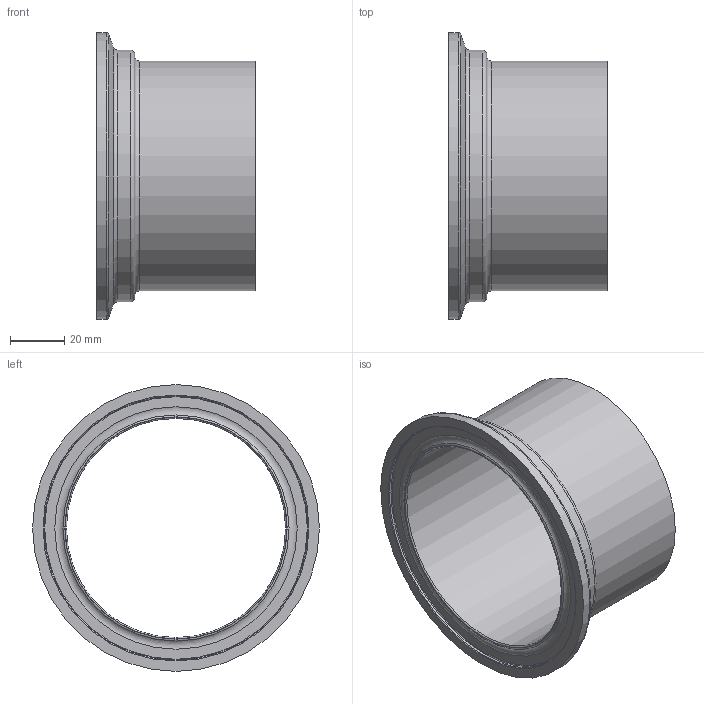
import cadquery as cq
import math

LENGTH = 58.5
BORE_R = 81.0 / 2
TUBE_R = 85.0 / 2
COLLAR_R = 93.0 / 2
FLANGE_R = 106.0 / 2

RIM_WIDTH = 3.4
RIM_ROUND = 1.0
BACK_SLOPE = math.radians(20)
BACK_FILLET = 1.7

COLLAR_END = 14.0
COLLAR_ROUND = 1.6
TUBE_FILLET = 1.6

SEAT_R = 97.7 / 2
SEAT_DEPTH = 1.5
SEAT_ROUND = 0.3

GROOVE_CENTER_R = 43.75
GROOVE_ROUND = 2.8
GROOVE_OUTER_R = 44.8

LIP_OUTER_ROUND = 1.0
LIP_INNER_ROUND = 0.5
LIP_FLAT = 0.1


def arc_points(center_x, center_r, radius, start, end):
    """Middle and end points of an arc; angles are measured from +X towards the radial direction."""
    middle = (start + end) / 2
    return [
        (center_x + radius * math.cos(angle), center_r + radius * math.sin(angle))
        for angle in (middle, end)
    ]


def outer_side(profile):
    """Continue the half section from the rim at the sealing face to the free end of the tube."""
    normal = BACK_SLOPE
    rim_center_r = FLANGE_R - RIM_ROUND
    profile = profile.lineTo(RIM_WIDTH, FLANGE_R)
    rim_arc = arc_points(RIM_WIDTH, rim_center_r, RIM_ROUND, math.pi / 2, normal)
    profile = profile.threePointArc(*rim_arc)

    fillet_center_r = COLLAR_R + BACK_FILLET
    round_sum = RIM_ROUND + BACK_FILLET
    center_drop = rim_center_r - fillet_center_r
    fillet_center_x = RIM_WIDTH + (round_sum + center_drop * math.sin(normal)) / math.cos(normal)
    fillet_arc = arc_points(
        fillet_center_x, fillet_center_r, BACK_FILLET, math.pi + normal, 3 * math.pi / 2
    )
    fillet_start = (
        fillet_center_x - BACK_FILLET * math.cos(normal),
        fillet_center_r - BACK_FILLET * math.sin(normal),
    )
    profile = profile.lineTo(*fillet_start).threePointArc(*fillet_arc)

    collar_center_x = COLLAR_END - COLLAR_ROUND
    collar_center_r = COLLAR_R - COLLAR_ROUND
    collar_arc = arc_points(collar_center_x, collar_center_r, COLLAR_ROUND, math.pi / 2, 0)
    profile = profile.lineTo(collar_center_x, COLLAR_R).threePointArc(*collar_arc)

    tube_arc = arc_points(
        COLLAR_END + TUBE_FILLET, TUBE_R + TUBE_FILLET, TUBE_FILLET, math.pi, 3 * math.pi / 2
    )
    profile = profile.lineTo(COLLAR_END, TUBE_R + TUBE_FILLET).threePointArc(*tube_arc)
    return profile.lineTo(LENGTH, TUBE_R)


def sealing_side(profile):
    """Continue the half section from the bore over lip, groove and seat back to the sealing face."""
    groove_outer_angle = math.asin((GROOVE_OUTER_R - GROOVE_CENTER_R) / GROOVE_ROUND)
    groove_center_x = SEAT_DEPTH - GROOVE_ROUND * math.cos(groove_outer_angle)

    lip_inner_r = BORE_R + LIP_INNER_ROUND
    lip_outer_r = lip_inner_r + LIP_FLAT
    center_distance = GROOVE_ROUND + LIP_OUTER_ROUND
    center_rise = GROOVE_CENTER_R - lip_outer_r
    blend_angle = math.asin(center_rise / center_distance)
    lip_center_x = groove_center_x + center_distance * math.cos(blend_angle)
    lip_x = lip_center_x - LIP_OUTER_ROUND

    inner_arc = arc_points(
        lip_x + LIP_INNER_ROUND, lip_inner_r, LIP_INNER_ROUND, 3 * math.pi / 2, math.pi
    )
    outer_arc = arc_points(
        lip_center_x, lip_outer_r, LIP_OUTER_ROUND, math.pi, math.pi - blend_angle
    )
    groove_arc = arc_points(
        groove_center_x, GROOVE_CENTER_R, GROOVE_ROUND, -blend_angle, groove_outer_angle
    )
    profile = profile.lineTo(lip_x + LIP_INNER_ROUND, BORE_R).threePointArc(*inner_arc)
    profile = profile.lineTo(lip_x, lip_outer_r).threePointArc(*outer_arc)
    profile = profile.threePointArc(*groove_arc)

    foot_center_r = SEAT_R - SEAT_ROUND
    foot_arc = arc_points(SEAT_DEPTH - SEAT_ROUND, foot_center_r, SEAT_ROUND, 0, math.pi / 2)
    edge_arc = arc_points(SEAT_ROUND, SEAT_R + SEAT_ROUND, SEAT_ROUND, 3 * math.pi / 2, math.pi)
    profile = profile.lineTo(SEAT_DEPTH, foot_center_r).threePointArc(*foot_arc)
    return profile.lineTo(SEAT_ROUND, SEAT_R).threePointArc(*edge_arc)


section = cq.Workplane("XY").moveTo(0, FLANGE_R)
section = outer_side(section)
section = section.lineTo(LENGTH, BORE_R)
section = sealing_side(section).close()

result = section.revolve(360, (0, 0, 0), (1, 0, 0))